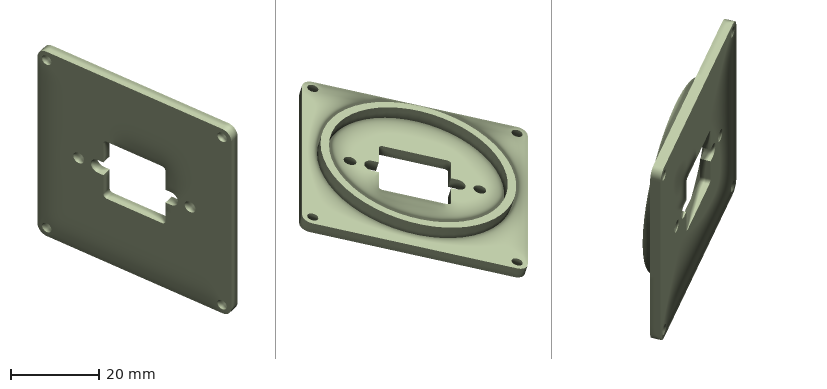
import cadquery as cq

plate_width = 53.0
plate_height = 55.0
plate_thickness = 2.5
corner_radius = 2.5

ring_outer_diameter = 46.0
ring_inner_diameter = 42.0
ring_height = 3.0

mounting_hole_diameter = 2.6
mounting_spacing_x = plate_width - 2 * corner_radius
mounting_spacing_z = plate_height - 2 * corner_radius

window_size = 17.0
window_corner_radius = 1.0
slot_width = 3.8
slot_center_distance = 20.0

screw_hole_diameter = 3.0
screw_hole_spacing = 30.5


def front_sketch():
    """Workplane on the front face with local x = +X, local y = +Z and normal = -Y."""
    return cq.Workplane("XZ")


def rounded_block(width, height, radius):
    """Rectangular block through the plate thickness with rounded corners."""
    block = front_sketch().rect(width, height).extrude(-plate_thickness)
    return block.edges("|Y").fillet(radius)


def locating_ring():
    """Circular rim standing on the back face of the plate."""
    back_face = front_sketch().workplane(offset=-plate_thickness)
    profile = back_face.circle(ring_outer_diameter / 2).circle(ring_inner_diameter / 2)
    return profile.extrude(-ring_height)


def cross_slot():
    """Round-ended slot that widens the window at mid height."""
    slot_length = slot_center_distance + slot_width
    return front_sketch().slot2D(slot_length, slot_width).extrude(-plate_thickness)


def through_holes(points, diameter):
    """Round holes through the plate at the given (x, z) points."""
    return front_sketch().pushPoints(points).circle(diameter / 2).extrude(-plate_thickness)


mounting_points = [
    (side_x * mounting_spacing_x / 2, side_z * mounting_spacing_z / 2)
    for side_x in (-1, 1)
    for side_z in (-1, 1)
]
screw_points = [(side * screw_hole_spacing / 2, 0) for side in (-1, 1)]

plate = rounded_block(plate_width, plate_height, corner_radius)
plate = plate.cut(rounded_block(window_size, window_size, window_corner_radius))
plate = plate.cut(cross_slot())
plate = plate.cut(through_holes(mounting_points, mounting_hole_diameter))
plate = plate.cut(through_holes(screw_points, screw_hole_diameter))

result = plate.union(locating_ring())